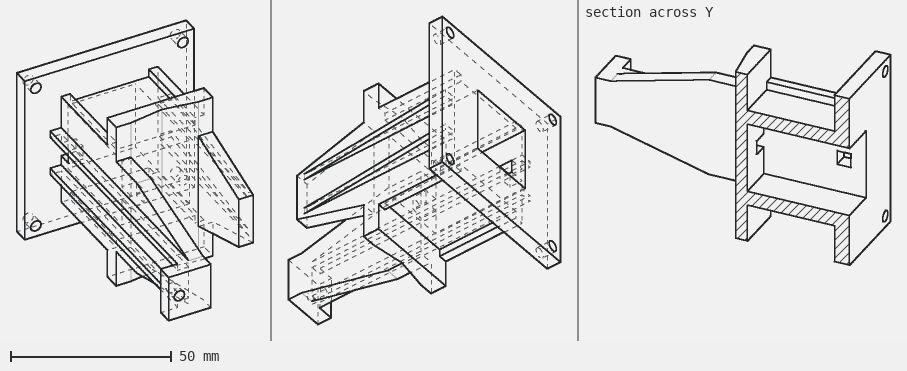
import cadquery as cq

plate_side = 60.0
plate_thickness = 5.2
plate_hole_offset = 26.0
hole_diameter = 3.6

cavity_half = 12.0
wall = 5.1
housing_half_width = cavity_half + wall
housing_half_height = 19.9
edge_strip_width = 3.2
recess_depth = 2.8
window_length = 4.7
window_height = 4.8
wire_slot_width = 5.1

flange_start = 35.1
flange_end = 40.9
notch_depth = 1.8

arm_half_height = 17.0
long_arm_taper_start = 54.0
total_length = 93.0
lug_thickness = 5.2
lug_start = total_length - lug_thickness
lug_half_height = 8.2
lug_reach = 27.0
lug_hole_y = -23.2
rail_reach = 21.0
rail_width = 2.3

short_arm_end = 67.1
short_arm_tip_half_height = 9.0
rib_reach = 21.9
rib_end = 64.2


def block(x_range, y_range, z_range):
    """Box spanning the given (low, high) range along each axis."""
    ranges = (x_range, y_range, z_range)
    sizes = [high - low for low, high in ranges]
    centre = tuple((low + high) / 2 for low, high in ranges)
    return cq.Workplane("XY").box(*sizes).translate(centre)


def tapered_arm(inner_y, taper_start, taper_end, tip_half_height):
    """Side arm one wall thick, narrowing symmetrically in Z toward its tip."""
    outline = [
        (plate_thickness, arm_half_height),
        (taper_start, arm_half_height),
        (taper_end, tip_half_height),
        (taper_end, -tip_half_height),
        (taper_start, -arm_half_height),
        (plate_thickness, -arm_half_height),
    ]
    return cq.Workplane("XZ", origin=(0, inner_y, 0)).polyline(outline).close().extrude(wall)


def x_hole(y, z, start, length):
    """Round cutter running along +X."""
    return cq.Workplane("YZ", origin=(start, y, z)).circle(hole_diameter / 2).extrude(length)


def rail_ranges():
    """Z ranges of the upper and lower rail."""
    inner = lug_half_height - rail_width
    return [(inner, lug_half_height), (-lug_half_height, -inner)]


plate_half = plate_side / 2
full_height = (-plate_half, plate_half)
housing_width = (-housing_half_width, housing_half_width)
body = block((0, plate_thickness), full_height, full_height)
body = body.union(block((plate_thickness, flange_start), housing_width,
                        (-housing_half_height, housing_half_height)))
body = body.union(block((flange_start, flange_end), housing_width, full_height))

notch = (
    cq.Workplane("XY", origin=(0, 0, -plate_half))
    .polyline([(flange_end, -cavity_half), (flange_end, cavity_half), (flange_end - notch_depth, 0)])
    .close()
    .extrude(plate_side)
)
body = body.cut(notch)

recess_half_width = housing_half_width - edge_strip_width
recess_floor = housing_half_height - recess_depth
for z_range in [(recess_floor, housing_half_height), (-housing_half_height, -recess_floor)]:
    body = body.cut(block((plate_thickness, flange_start), (-recess_half_width, recess_half_width), z_range))

body = body.union(tapered_arm(-cavity_half, long_arm_taper_start, lug_start, lug_half_height))
body = body.union(block((lug_start, total_length), (-lug_reach, -cavity_half),
                        (-lug_half_height, lug_half_height)))
for z_range in rail_ranges():
    body = body.union(block((plate_thickness, lug_start), (-rail_reach, -housing_half_width), z_range))
body = body.cut(x_hole(lug_hole_y, 0, lug_start, lug_thickness))

body = body.union(tapered_arm(housing_half_width, flange_end, short_arm_end, short_arm_tip_half_height))
for z_low, z_high in rail_ranges():
    rib = (
        cq.Workplane("XY", origin=(0, 0, z_low))
        .polyline([
            (plate_thickness, housing_half_width),
            (plate_thickness, rib_reach),
            (rib_end, housing_half_width),
        ])
        .close()
        .extrude(z_high - z_low)
    )
    body = body.union(rib)

cavity_range = (-cavity_half, cavity_half)
window_range = (-window_height / 2, window_height / 2)
body = body.cut(block((0, flange_start), cavity_range, cavity_range))
body = body.cut(block((plate_thickness, plate_thickness + window_length),
                      (-housing_half_width, -cavity_half), window_range))
body = body.cut(block((flange_start, flange_end),
                      (-cavity_half, -cavity_half + wire_slot_width), window_range))

for y in (-plate_hole_offset, plate_hole_offset):
    for z in (-plate_hole_offset, plate_hole_offset):
        body = body.cut(x_hole(y, z, 0, plate_thickness))

result = body